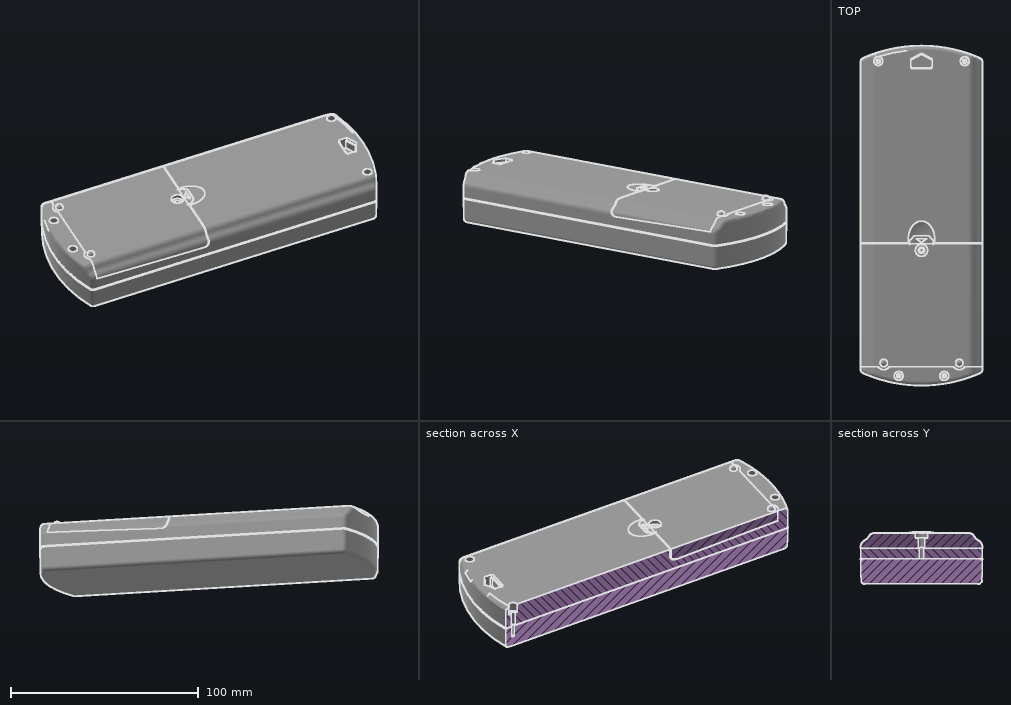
import cadquery as cq
import math

LENGTH = 181.0
WIDTH = 65.0
FACE_Z = 27.3
PARTING_Z = 13.5
END_BULGE = 7.2
END_ROUND = 2.4
BOTTOM_ROUND = 2.2
BASE_DRAFT = 1.0
GROOVE_HEIGHT = 0.4
GROOVE_DEPTH = 0.7

FACE_HALF_WIDTH = 24.8
CROWN_RADIUS = 3.8
COVE_RADIUS = 5.5
CROWN_SLOPE = math.radians(60)
SHOULDER_SLOPE = math.radians(28)

COVER_TOP_Y = -14.8
COVER_END_Y = -80.4
COVER_GAP = 0.4
COVER_FLOOR_Z = 19.2
COVER_END_Z = 20.8
COVER_CORNER_RADIUS = 3.3

FOOT_X = 20.0
FOOT_Y = -78.4
FOOT_RADIUS = 2.0
FOOT_HEIGHT = 2.0
FOOT_LOBE_RADIUS = 3.6

TAB_HALF_WIDTH = 6.3
TAB_TIP_HALF_WIDTH = 3.8
TAB_ROOT_Y = -15.5
TAB_SHOULDER_Y = -13.4
TAB_TIP_Y = -10.7
TAB_RISE = 0.5
TAB_SINK = 0.2
ARROW_HALF_WIDTH = 2.7
ARROW_BASE_Y = -12.3
ARROW_POINT_Y = -14.5

SCOOP_CENTER_Y = -12.7
SCOOP_HALF_LENGTH = 9.8
SCOOP_HALF_WIDTH = 7.0
SCOOP_DEPTH = 1.8

CASE_SCREW_POSITIONS = [(-23.0, 82.2), (23.0, 82.2), (-12.1, -85.2), (12.1, -85.2)]
CASE_HEAD_RADIUS = 2.4
CASE_HEAD_DEPTH = 5.5
CASE_SHANK_RADIUS = 1.0
CASE_THREAD_RADIUS = 0.7
CASE_THREAD_DEPTH = 7.2
COVER_SCREW_Y = -18.5
COVER_HEAD_RADIUS = 3.3
COVER_HEAD_DEPTH = 2.7
COVER_SHANK_RADIUS = 1.6
COVER_THREAD_RADIUS = 1.0

HANGER_HALF_WIDTH = 5.8
HANGER_BOTTOM_Y = 78.2
HANGER_EAVES_Y = 83.3
HANGER_PEAK_Y = 86.3
HANGER_LIP_DEPTH = 2.0
HANGER_STEP = 0.5
HANGER_CHAMFER = 0.7
HANGER_DEPTH = 7.2

HALF_LENGTH = LENGTH / 2
HALF_WIDTH = WIDTH / 2
CORNER_Y = HALF_LENGTH - END_BULGE
TOLERANCE = 0.02
CUT_MARGIN = 1.8


def case_outline(workplane):
    """Long rectangle whose two short ends bulge outward as arcs."""
    return (
        workplane.moveTo(-HALF_WIDTH, -CORNER_Y)
        .threePointArc((0, -HALF_LENGTH), (HALF_WIDTH, -CORNER_Y))
        .lineTo(HALF_WIDTH, CORNER_Y)
        .threePointArc((0, HALF_LENGTH), (-HALF_WIDTH, CORNER_Y))
        .close()
    )


def arc_point(center, radius, slope, side):
    """Point of an arc where its slope has the given angle; side is +1 convex, -1 concave."""
    return (
        center[0] + side * radius * math.sin(slope),
        center[1] + side * radius * math.cos(slope),
    )


def shouldered_block():
    """Cross-section with S-shaped shoulders, run along the full length."""
    crown_center = (FACE_HALF_WIDTH, FACE_Z - CROWN_RADIUS)
    crown_middle = arc_point(crown_center, CROWN_RADIUS, CROWN_SLOPE / 2, 1)
    crown_end = arc_point(crown_center, CROWN_RADIUS, CROWN_SLOPE, 1)
    cove_center = arc_point(crown_center, CROWN_RADIUS + COVE_RADIUS, CROWN_SLOPE, 1)
    cove_middle = arc_point(cove_center, COVE_RADIUS, (CROWN_SLOPE + SHOULDER_SLOPE) / 2, -1)
    cove_end = arc_point(cove_center, COVE_RADIUS, SHOULDER_SLOPE, -1)
    shoulder_radius = (HALF_WIDTH - cove_end[0]) / (1 - math.sin(SHOULDER_SLOPE))
    shoulder_center = arc_point(cove_end, shoulder_radius, SHOULDER_SLOPE, -1)
    shoulder_middle_slope = (SHOULDER_SLOPE + math.pi / 2) / 2
    shoulder_middle = arc_point(shoulder_center, shoulder_radius, shoulder_middle_slope, 1)
    shoulder_end = (HALF_WIDTH, shoulder_center[1])
    half = (
        cq.Workplane("XZ", origin=(0, HALF_LENGTH, 0))
        .moveTo(0, PARTING_Z)
        .lineTo(0, FACE_Z)
        .lineTo(FACE_HALF_WIDTH, FACE_Z)
        .threePointArc(crown_middle, crown_end)
        .threePointArc(cove_middle, cove_end)
        .threePointArc(shoulder_middle, shoulder_end)
        .lineTo(HALF_WIDTH, PARTING_Z)
        .close()
        .extrude(LENGTH)
    )
    return half.union(half.mirror("YZ"))


def upper_case():
    """Solid above the parting plane, with its end walls rounded into the sides and shoulders."""
    plan = case_outline(cq.Workplane("XY", origin=(0, 0, PARTING_Z))).extrude(FACE_Z - PARTING_Z)
    body = plan.intersect(shouldered_block()).clean()
    end_edges = body.faces("<Y or >Y").edges().filter(lambda edge: edge.Center().z > PARTING_Z + TOLERANCE)
    return end_edges.fillet(END_ROUND)


def make_base():
    """Lower shell: drafted walls, rounded corners and bottom, groove and screw threads on top."""
    block = case_outline(cq.Workplane("XY")).extrude(PARTING_Z).edges("|Z").fillet(END_ROUND)
    base = block.faces(">Z").wires().toPending().extrude(-PARTING_Z, combine=False, taper=BASE_DRAFT)
    base = base.faces("<Z").edges().fillet(BOTTOM_ROUND)
    groove_block = block.faces(">Z").wires().toPending().extrude(-GROOVE_HEIGHT, combine=False)
    groove_core = (
        block.faces(">Z")
        .wires()
        .toPending()
        .offset2D(-GROOVE_DEPTH)
        .extrude(-GROOVE_HEIGHT, combine=False)
    )
    threads = (
        cq.Workplane("XY", origin=(0, 0, PARTING_Z))
        .pushPoints(CASE_SCREW_POSITIONS)
        .circle(CASE_THREAD_RADIUS)
        .extrude(-CASE_THREAD_DEPTH)
    )
    return base.cut(groove_block.cut(groove_core)).cut(threads)


def cover_space(top_y):
    """Full-width room for the cover, up to top_y, with a lobe around each foot."""
    above_face = FACE_Z + CUT_MARGIN
    floor_slope = (COVER_END_Z - COVER_FLOOR_Z) / (COVER_TOP_Y - COVER_END_Y)
    prism = (
        cq.Workplane("YZ", origin=(-HALF_WIDTH - CUT_MARGIN, 0, 0))
        .moveTo(top_y, above_face)
        .lineTo(top_y, COVER_FLOOR_Z - floor_slope * (top_y - COVER_TOP_Y))
        .lineTo(COVER_END_Y, COVER_END_Z)
        .lineTo(COVER_END_Y, above_face)
        .close()
        .extrude(WIDTH + 2 * CUT_MARGIN)
        .edges("|X and >Y and <Z")
        .fillet(COVER_CORNER_RADIUS)
    )
    lobes = (
        cq.Workplane("XY", origin=(0, FOOT_Y, COVER_END_Z))
        .pushPoints([(-FOOT_X, 0), (FOOT_X, 0)])
        .circle(FOOT_LOBE_RADIUS)
        .extrude(above_face - COVER_END_Z)
    )
    return prism.union(lobes)


def foot(x):
    """Low spherical dome, sunk into the face so that it joins the cover."""
    sphere_radius = (FOOT_RADIUS**2 + FOOT_HEIGHT**2) / (2 * FOOT_HEIGHT)
    center_z = FACE_Z + FOOT_HEIGHT - sphere_radius
    return cq.Workplane("XY", origin=(x, FOOT_Y, center_z)).sphere(sphere_radius)


def finger_tab():
    """Wedge that rises toward its tip, with a flat-floored arrow sunk into it."""
    tip_z = FACE_Z + TAB_RISE
    bottom_z = FACE_Z - TAB_SINK
    wedge = (
        cq.Workplane("YZ", origin=(-TAB_HALF_WIDTH, 0, 0))
        .polyline([
            (TAB_ROOT_Y, bottom_z),
            (TAB_TIP_Y, bottom_z),
            (TAB_TIP_Y, tip_z),
            (TAB_ROOT_Y, FACE_Z),
        ])
        .close()
        .extrude(2 * TAB_HALF_WIDTH)
    )
    outline = (
        cq.Workplane("XY", origin=(0, 0, bottom_z))
        .polyline([
            (-TAB_HALF_WIDTH, TAB_ROOT_Y),
            (TAB_HALF_WIDTH, TAB_ROOT_Y),
            (TAB_HALF_WIDTH, TAB_SHOULDER_Y),
            (TAB_TIP_HALF_WIDTH, TAB_TIP_Y),
            (-TAB_TIP_HALF_WIDTH, TAB_TIP_Y),
            (-TAB_HALF_WIDTH, TAB_SHOULDER_Y),
        ])
        .close()
        .extrude(tip_z - bottom_z)
    )
    arrow = (
        cq.Workplane("XY", origin=(0, 0, FACE_Z))
        .polyline([
            (-ARROW_HALF_WIDTH, ARROW_BASE_Y),
            (ARROW_HALF_WIDTH, ARROW_BASE_Y),
            (0, ARROW_POINT_Y),
        ])
        .close()
        .extrude(TAB_RISE)
    )
    return wedge.intersect(outline).cut(arrow)


def finger_scoop():
    """Shallow ellipsoid whose axis runs along Y above the face."""
    middle_radius = (SCOOP_HALF_WIDTH**2 + SCOOP_DEPTH**2) / (2 * SCOOP_DEPTH)
    axis_height = middle_radius - SCOOP_DEPTH
    half_length = SCOOP_HALF_LENGTH * middle_radius / SCOOP_HALF_WIDTH
    return (
        cq.Workplane("YZ", origin=(0, SCOOP_CENTER_Y, FACE_Z + axis_height))
        .moveTo(-half_length, 0)
        .ellipseArc(half_length, middle_radius, 180, 360, startAtCurrent=True)
        .close()
        .revolve(360, (0, 0), (1, 0))
    )


def stepped_hole(x, y, head_radius, head_depth, shank_radius, end_z):
    """Cutter for a screw hole: wide for the head, narrow for the shank down to end_z."""
    shank = cq.Workplane("XY", origin=(x, y, end_z)).circle(shank_radius).extrude(FACE_Z - end_z)
    head = cq.Workplane("XY", origin=(x, y, FACE_Z - head_depth)).circle(head_radius).extrude(head_depth)
    return shank.union(head)


def house_prism(bottom_y, roof_drop, depth):
    """House-shaped prism below the face; roof_drop lowers the whole roof along Y."""
    return (
        cq.Workplane("XY", origin=(0, 0, FACE_Z))
        .polyline([
            (-HANGER_HALF_WIDTH, bottom_y),
            (HANGER_HALF_WIDTH, bottom_y),
            (HANGER_HALF_WIDTH, HANGER_EAVES_Y - roof_drop),
            (0, HANGER_PEAK_Y - roof_drop),
            (-HANGER_HALF_WIDTH, HANGER_EAVES_Y - roof_drop),
        ])
        .close()
        .extrude(-depth)
    )


def hanging_recess():
    """Cutter for the house-shaped recess, a chamfered lip above a shorter well."""
    lip = house_prism(HANGER_BOTTOM_Y, 0, HANGER_LIP_DEPTH).edges("|Z and <Y").chamfer(HANGER_CHAMFER)
    well = house_prism(HANGER_BOTTOM_Y + HANGER_STEP, HANGER_STEP, HANGER_DEPTH)
    well = well.edges("|Z and <Y").chamfer(HANGER_CHAMFER)
    return lip.union(well)


def make_housing(upper):
    """Upper shell around the cover, with its screw holes, hanging recess and finger scoop."""
    housing = upper.cut(cover_space(COVER_TOP_Y + COVER_GAP)).cut(finger_scoop()).cut(hanging_recess())
    for x, y in CASE_SCREW_POSITIONS:
        housing = housing.cut(
            stepped_hole(x, y, CASE_HEAD_RADIUS, CASE_HEAD_DEPTH, CASE_SHANK_RADIUS, PARTING_Z)
        )
    thread = (
        cq.Workplane("XY", origin=(0, COVER_SCREW_Y, PARTING_Z))
        .circle(COVER_THREAD_RADIUS)
        .extrude(FACE_Z - PARTING_Z)
    )
    return housing.cut(thread)


def make_cover(upper):
    """Battery cover with two feet, the finger tab and one screw hole."""
    cover = upper.intersect(cover_space(COVER_TOP_Y)).union(finger_tab())
    for x in (-FOOT_X, FOOT_X):
        cover = cover.union(foot(x))
    return cover.cut(
        stepped_hole(0, COVER_SCREW_Y, COVER_HEAD_RADIUS, COVER_HEAD_DEPTH, COVER_SHANK_RADIUS, PARTING_Z)
    )


upper_body = upper_case()
base = make_base()
housing = make_housing(upper_body)
cover = make_cover(upper_body)

result = cq.Compound.makeCompound([
    base.solids().val(),
    housing.solids().val(),
    cover.solids().val(),
])